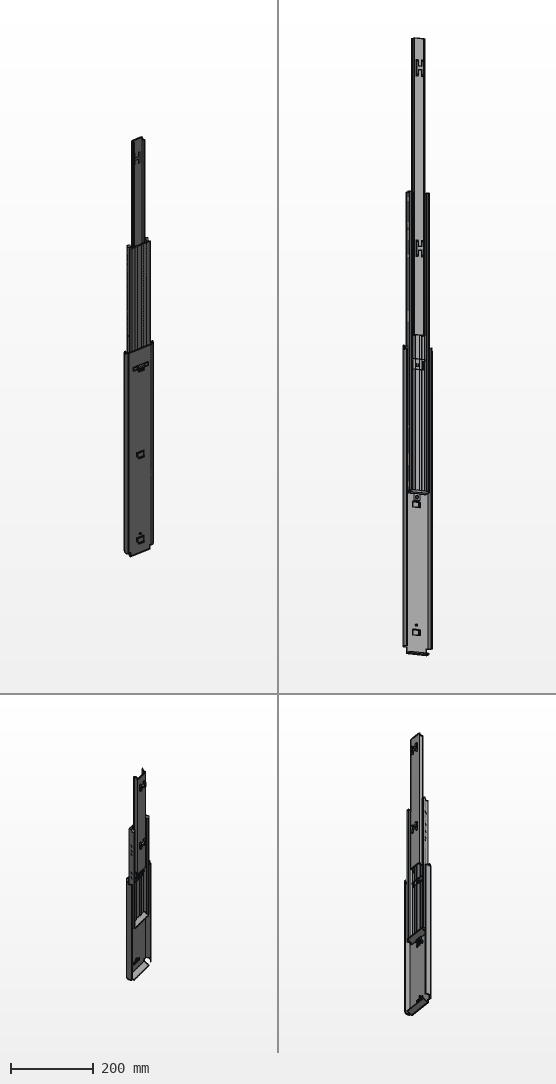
import cadquery as cq


closed_length = 762.0
extended_length = 2 * closed_length
stage_travel = closed_length / 2
end_tongue = 17.0
middle_short = 21.0
drawer_short = 27.0

cabinet_half_height = 76.19 / 2
cabinet_back = 9.1
cabinet_front = -8.9
cabinet_sheet = 2.5
flange_crown_x = (cabinet_back + cabinet_front) / 2
flange_bow = 4.2
race_edge = 30.3
race_crown_x = -2.0
lip_trim = 10.0
lip_trim_reach = 0.0

middle_half_height = 28.5
middle_back = 5.6
middle_front = -8.8
middle_web = 2.5
middle_inner = 20.0
middle_groove_depth = 2.0
middle_edge_chamfer = 2.5
middle_roll = 2.5
rib_inner = 5.5
rib_outer = 12.0
rib_height = 1.2

drawer_half_height = 15.5
drawer_front = -10.3
drawer_back = 2.2
drawer_sheet = 2.2
drawer_web_half = 9.3
drawer_shoulder_drop = 1.0
drawer_shoulder_half = 14.5
drawer_groove_depth = 2.0

overall_half_thickness = 30.39 / 2
hook_sites = [64.0, 381.0, 704.0]
hook_width = 16.0
hook_sheet = 2.0
hook_length = 18.0
hook_gap = 1.4
window_width = 20.0
window_height = 13.0
pilot_above_hook = 10.0
pilot_diameter = 5.0
block_height = 9.0
block_base_width = 40.0
block_base_thickness = 2.4
block_base_height = 12.0
tab_sites = [1003.0, 1450.0]
tab_width = 18.0
tab_height = 32.0
tab_ramp = 4.5
tab_slot_width = 9.2
tab_bridge = 9.0

end_lip_half_width = 26.0
end_lip_thickness = 3.0
end_lip_bend = 5.0

stop_width = 46.0
stop_height = 5.3
stop_overhang = 3.5
stop_front = -11.0
tongue_width = 16.0
tongue_length = 16.0
tongue_hole_diameter = 7.0

latch_bottom = 706.0
latch_height = 26.0
latch_half_width = 15.0
latch_head_half_width = 19.0
latch_head_height = 5.0
latch_sheet = 2.0
latch_hole = 6.0


def box(x_range, y_range, z_range):
    """Solid box between pairs of limits."""
    size = [b - a for a, b in (x_range, y_range, z_range)]
    return cq.Workplane("XY").box(*size, centered=False).translate((x_range[0], y_range[0], z_range[0]))


def centred_box(x_range, width, z_range):
    """Box of the given width, centred on the middle plane of the slide."""
    return box(x_range, (-width / 2, width / 2), z_range)


def extrude(section, z_range):
    """Extrude a closed XY section between two heights."""
    return section.extrude(z_range[1] - z_range[0]).translate((0, 0, z_range[0]))


def both_sides(flange):
    """A flange together with its mirror image across the middle plane."""
    return flange.union(flange.mirror("XZ"))


def hook(top):
    """Hook bent out of the cabinet member's web: arm, downward stem and outward foot."""
    stem_start = cabinet_back + hook_gap
    stem_end = stem_start + hook_sheet
    bottom = top - hook_length
    arm = centred_box((cabinet_back - cabinet_sheet, stem_end), hook_width, (top - hook_sheet, top))
    stem = centred_box((stem_start, stem_end), hook_width, (bottom, top))
    foot = centred_box((stem_start, overall_half_thickness), hook_width, (bottom, bottom + hook_sheet))
    return arm.union(stem).union(foot)


def make_cabinet_member():
    h = cabinet_half_height
    t = cabinet_sheet
    rail_z = (end_tongue, closed_length)
    web = (cabinet_back - t, cabinet_back)
    edge = h - flange_bow
    section = (
        cq.Workplane("XY")
        .moveTo(cabinet_back, race_edge)
        .lineTo(cabinet_back, edge)
        .threePointArc((flange_crown_x, h), (cabinet_front, edge))
        .lineTo(cabinet_front, edge - t)
        .threePointArc((race_crown_x, h - t), (web[0], race_edge))
        .close()
    )
    member = both_sides(extrude(section, rail_z))
    member = member.union(centred_box(web, 2 * race_edge, rail_z))
    trim_z = (closed_length - lip_trim, closed_length)
    member = member.cut(centred_box((cabinet_front, lip_trim_reach), 2 * h, trim_z))

    lip_width = 2 * end_lip_half_width
    tongue = centred_box((cabinet_front, cabinet_back), lip_width, (0, end_tongue))
    tongue = tongue.cut(centred_box((cabinet_front, web[0]), lip_width, (end_lip_thickness, end_tongue)))
    tongue = tongue.edges("|Y and >X and <Z").fillet(end_lip_bend)
    member = member.union(tongue)

    for top in hook_sites:
        window_z = (top - hook_sheet - window_height, top - hook_sheet)
        member = member.cut(centred_box(web, window_width, window_z))
        member = member.union(hook(top))
    pilot_z = hook_sites[0] + pilot_above_hook
    pilot = cq.Workplane("YZ", origin=(web[0], 0, pilot_z)).circle(pilot_diameter / 2).extrude(t)
    member = member.cut(pilot)

    block_top = hook_sites[-1]
    block_x = (cabinet_back, overall_half_thickness)
    base_x = (cabinet_back, cabinet_back + block_base_thickness)
    member = member.union(centred_box(block_x, hook_width, (block_top - block_height, block_top)))
    return member.union(centred_box(base_x, block_base_width, (block_top - block_base_height, block_top)))


def make_middle_member():
    bottom = stage_travel + middle_short
    top = stage_travel + closed_length
    web_face = middle_back - middle_web
    groove_x = (middle_front + middle_edge_chamfer + web_face) / 2
    nose = middle_front + middle_edge_chamfer
    rolled_groove = [
        (groove_x, middle_half_height - middle_groove_depth),
        (middle_front + middle_roll, middle_half_height),
        (middle_front, middle_half_height - middle_roll),
    ]
    section = (
        cq.Workplane("XY")
        .moveTo(middle_back, middle_inner)
        .lineTo(middle_back, middle_half_height)
        .spline(rolled_groove, includeCurrent=True)
        .lineTo(middle_front, middle_inner + middle_edge_chamfer)
        .lineTo(nose, middle_inner)
        .threePointArc((groove_x, middle_inner + middle_groove_depth), (web_face, middle_inner))
        .close()
    )
    member = both_sides(extrude(section, (bottom, top)))
    member = member.union(centred_box((web_face, middle_back), 2 * middle_inner, (bottom, top)))
    for side in (-1, 1):
        rib_y = sorted((side * rib_inner, side * rib_outer))
        member = member.union(box((web_face - rib_height, web_face), rib_y, (bottom, top)))

    stop_bottom = bottom - stop_overhang
    stop = centred_box((stop_front, middle_back), stop_width, (stop_bottom, stop_bottom + stop_height))
    tongue_bottom = stop_bottom - tongue_length
    tongue = centred_box((web_face, middle_back), tongue_width, (tongue_bottom, stop_bottom))
    hole = cq.Workplane("YZ", origin=(web_face, 0, tongue_bottom + tongue_length / 2))
    tongue = tongue.cut(hole.circle(tongue_hole_diameter / 2).extrude(middle_web))
    return member.union(stop).union(tongue)


def tab(z):
    """Raised tab with sloped ends on the drawer member's web, slotted at both ends."""
    face = tab_height / 2
    foot = face + tab_ramp
    outline = [
        (drawer_front, z - foot),
        (-overall_half_thickness, z - face),
        (-overall_half_thickness, z + face),
        (drawer_front, z + foot),
    ]
    body = cq.Workplane("XZ").polyline(outline).close().extrude(tab_width / 2, both=True)
    x_range = (-overall_half_thickness, drawer_front)
    slots = centred_box(x_range, tab_slot_width, (z - foot, z + foot))
    bridge = centred_box(x_range, tab_slot_width, (z - tab_bridge / 2, z + tab_bridge / 2))
    return body.cut(slots.cut(bridge))


def make_drawer_member():
    z_range = (closed_length + drawer_short, extended_length)
    h = drawer_half_height
    t = drawer_sheet
    shoulder_x = drawer_front + drawer_shoulder_drop
    groove_x = (shoulder_x + drawer_back) / 2
    groove_y = (drawer_shoulder_half + h) / 2 - drawer_groove_depth
    section = (
        cq.Workplane("XY")
        .moveTo(drawer_front, 0)
        .lineTo(drawer_front, drawer_web_half)
        .lineTo(shoulder_x, drawer_shoulder_half)
        .threePointArc((groove_x, groove_y), (drawer_back, h))
        .lineTo(drawer_back, h - t)
        .threePointArc((groove_x, groove_y - t), (shoulder_x + t, drawer_shoulder_half - t))
        .lineTo(drawer_front + t, drawer_web_half - t)
        .lineTo(drawer_front + t, 0)
        .close()
    )
    member = both_sides(extrude(section, z_range))
    for z in tab_sites:
        member = member.union(tab(z))
    return member


def make_latch_plate():
    back = middle_back - middle_web - rib_height
    x_range = (back - latch_sheet, back)
    top = latch_bottom + latch_height
    plate = centred_box(x_range, 2 * latch_half_width, (latch_bottom, top))
    plate = plate.union(centred_box(x_range, 2 * latch_head_half_width, (top - latch_head_height, top)))
    hole_z = latch_bottom + (latch_height - latch_head_height) / 2
    hole_range = (hole_z - latch_hole / 2, hole_z + latch_hole / 2)
    return plate.cut(centred_box(x_range, latch_hole, hole_range))


cabinet_member = make_cabinet_member()
middle_member = make_middle_member()
drawer_member = make_drawer_member()
latch_plate = make_latch_plate()

result = cq.Compound.makeCompound([
    cabinet_member.val(),
    middle_member.val(),
    drawer_member.val(),
    latch_plate.val(),
])